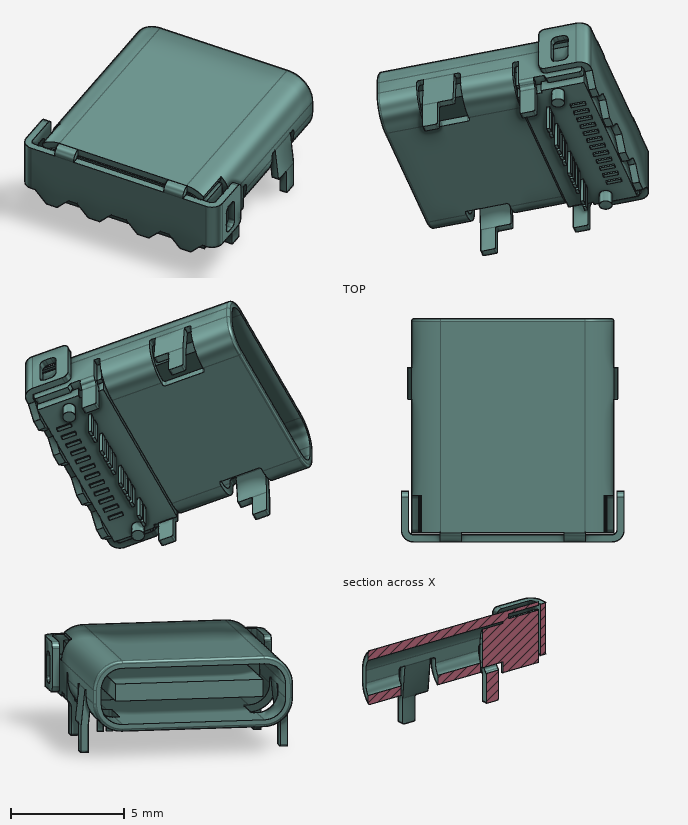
import cadquery as cq
import math

LENGTH = 9.87
WIDTH = 9.85
TOP_Z = 3.21
LEAD_TIP_Z = -1.24
METAL = 0.33

SHELL_HALF = 4.47
SHELL_BOTTOM_Z = 0.04
SHELL_RADIUS = 1.28
SHELL_BACK_Y = 0.4
MOUTH_ROUND = 0.12
SHELL_INNER_HALF = SHELL_HALF - METAL
SHELL_INNER_TOP_Z = TOP_Z - METAL
SHELL_HEIGHT = TOP_Z - SHELL_BOTTOM_Z
SHELL_MID_Z = (TOP_Z + SHELL_BOTTOM_Z) / 2

CUT_TOP_Z = 1.6
CUT_ROUND = 0.12
LOWER_CUT_Y = 3.6
SLOT_FRONT_Y = 2.05
SLOT_HALF = 4.04
SLOT_LIP_Z = 2.75
WINDOW_BACK_Y = 6.0
WINDOW_FRONT_Y = 8.01
WINDOW_INNER_HALF = 2.96

FRONT_LEG_BACK_Y = 6.29
FRONT_LEG_FRONT_Y = 7.7
FRONT_LEG_HALF = 4.64
FRONT_LEG_BEND_Z = 0.0
LEG_WIDTH = 0.69
LEG_ROUND = 0.08

WALL_FRONT_Y = 3.32
WALL_TOP_Z = TOP_Z - SHELL_RADIUS
WALL_BOTTOM_Z = 0.51
LIP_FRONT_Y = 2.15
LIP_SLANT = 0.12
LIP_BOTTOM_Z = 0.33
WALL_ROUND = 0.12
JOG_BOTTOM_Z = 0.04
JOG_OFFSET = 0.21

PLATE_TOP_Z = 2.77
PLATE_BOTTOM_Z = WALL_BOTTOM_Z
PLATE_RADIUS = 0.53
WING_FRONT_Y = 2.25
WING_ROUND = 0.28
TOOTH_TIP_Z = -0.08
TOOTH_SLANT = 0.57
OUTER_TOOTH_X = 3.36
OUTER_TOOTH_TIP = 0.53
INNER_TOOTH_X = 1.23
INNER_TOOTH_TIP = 0.57
WING_SLOT_Y = 1.28
WING_SLOT_Z = 1.5
WING_SLOT_WIDTH = 0.78
WING_SLOT_HEIGHT = 1.4
WING_SLOT_ROUND = 0.26
TANG_INNER_X = 2.26
TANG_OUTER_X = 3.22

HOUSING_FRONT_Y = 3.52
HOUSING_STEP_Y = 2.39
HOUSING_HALF = 4.09
HOUSING_FRONT_HALF = 3.94
HOUSING_TOP_Z = 2.81
HOUSING_ROUND = 0.59
LEDGE_Z = 2.53
LEDGE_WIDTH = 0.29
PLUG_BOTTOM_Z = WALL_BOTTOM_Z
PAD_HALF = 3.16
TONGUE_HALF = 3.31
TONGUE_HEIGHT = 0.77
TONGUE_FRONT_Y = 8.88
PEG_Y = 1.71
PEG_DIAMETER = 0.57
PEG_TIP_Z = -0.6
LEFT_PEG_X = -3.75
RIGHT_PEG_X = 3.58

LEAD_PITCH = 0.4
LEAD_STEPS = (1, 2, 3, 4, 6, 7)
LEAD_WIDTH = 0.26
LEAD_BACK_Y = 2.34
LEAD_FRONT_Y = 2.48

FOOT_PITCH = 0.499
FEET_PER_SIDE = 6
FOOT_WIDTH = 0.17
FOOT_BACK_Y = 0.74
FOOT_FRONT_Y = 1.42
FOOT_BOTTOM_Z = -0.08


def block(x0, x1, y0, y1, z0, z1):
    return cq.Workplane("XY").box(x1 - x0, y1 - y0, z1 - z0, centered=False).translate((x0, y0, z0))


def both_sides(right):
    return right.union(right.mirror("YZ"))


def rounded_tube(half, height, radius, y0, y1):
    return (
        block(-half, half, y0, y1, SHELL_MID_Z - height / 2, SHELL_MID_Z + height / 2)
        .edges("|Y")
        .fillet(radius)
    )


def make_shell_slot():
    """Cutter for a rear side slot, leaving an upright lip that slants back to the inside of the sheet."""
    arc_x = SHELL_HALF - SHELL_RADIUS
    arc_z = TOP_Z - SHELL_RADIUS
    inner_radius = SHELL_RADIUS - METAL
    angle = math.acos((SLOT_HALF - arc_x) / SHELL_RADIUS)
    outline = [
        (arc_x, 0),
        (arc_x, arc_z),
        (arc_x + inner_radius * math.cos(angle), arc_z + inner_radius * math.sin(angle)),
        (SLOT_HALF, SLOT_LIP_Z),
        (SLOT_HALF, TOP_Z),
        (WIDTH / 2, TOP_Z),
        (WIDTH / 2, 0),
    ]
    return cq.Workplane("XZ").polyline(outline).close().extrude(-SLOT_FRONT_Y)


def make_shell():
    outside = rounded_tube(SHELL_HALF, SHELL_HEIGHT, SHELL_RADIUS, SHELL_BACK_Y, LENGTH)
    outside = outside.faces(">Y").edges().fillet(MOUTH_ROUND)
    inside = rounded_tube(
        SHELL_INNER_HALF, SHELL_HEIGHT - 2 * METAL, SHELL_RADIUS - METAL, SHELL_BACK_Y, LENGTH
    )
    lower_cut = block(-WIDTH / 2, WIDTH / 2, 0, LOWER_CUT_Y, 0, CUT_TOP_Z)
    lower_cut = lower_cut.edges(">Y and >Z").fillet(CUT_ROUND)
    window = block(WINDOW_INNER_HALF, WIDTH / 2, WINDOW_BACK_Y, WINDOW_FRONT_Y, 0, CUT_TOP_Z)
    window = window.edges("|X and >Z").fillet(CUT_ROUND).edges("|Z and <X").fillet(CUT_ROUND)
    return outside.cut(inside).cut(lower_cut).cut(both_sides(make_shell_slot())).cut(both_sides(window))


def make_front_leg():
    bent_strip = (
        cq.Workplane("XZ")
        .moveTo(SHELL_HALF, CUT_TOP_Z)
        .lineTo(FRONT_LEG_HALF, FRONT_LEG_BEND_Z)
        .lineTo(FRONT_LEG_HALF, LEAD_TIP_Z)
        .lineTo(FRONT_LEG_HALF - METAL, LEAD_TIP_Z)
        .lineTo(FRONT_LEG_HALF - METAL, FRONT_LEG_BEND_Z)
        .lineTo(SHELL_INNER_HALF, CUT_TOP_Z)
        .close()
        .extrude(-LENGTH)
    )
    shoulder = block(0, WIDTH, FRONT_LEG_BACK_Y, FRONT_LEG_FRONT_Y, 0, CUT_TOP_Z)
    shoulder = shoulder.edges("|X and <Y and <Z").fillet(LEG_ROUND)
    leg_back_y = FRONT_LEG_FRONT_Y - LEG_WIDTH
    leg = block(0, WIDTH, leg_back_y, FRONT_LEG_FRONT_Y, LEAD_TIP_Z, CUT_TOP_Z)
    leg = leg.edges("|X and <Z").fillet(LEG_ROUND)
    inner_corner = cq.NearestToPointSelector((WIDTH / 2, leg_back_y, 0))
    outline = shoulder.union(leg).edges(inner_corner).fillet(LEG_ROUND)
    return bent_strip.intersect(outline)


def make_rear_wall():
    wall = (
        cq.Workplane("YZ", origin=(SHELL_INNER_HALF, 0, 0))
        .moveTo(WALL_FRONT_Y, CUT_TOP_Z)
        .lineTo(WALL_FRONT_Y, WALL_BOTTOM_Z)
        .lineTo(LIP_FRONT_Y, WALL_BOTTOM_Z)
        .lineTo(LIP_FRONT_Y - LIP_SLANT, LIP_BOTTOM_Z)
        .lineTo(SHELL_BACK_Y, LIP_BOTTOM_Z)
        .lineTo(SHELL_BACK_Y, WALL_TOP_Z)
        .lineTo(SLOT_FRONT_Y - CUT_ROUND, WALL_TOP_Z)
        .tangentArcPoint((CUT_ROUND, CUT_ROUND))
        .lineTo(SLOT_FRONT_Y, CUT_TOP_Z)
        .close()
        .extrude(METAL)
    )
    return wall.edges("|X and <Y").fillet(WALL_ROUND)


def make_rear_leg():
    half_jog = (-JOG_OFFSET / 2, (JOG_BOTTOM_Z - WALL_BOTTOM_Z) / 2)
    half_jog_back = (-half_jog[0], -half_jog[1])
    leg = (
        cq.Workplane("XZ", origin=(0, WALL_FRONT_Y - LEG_WIDTH, 0))
        .moveTo(SHELL_HALF, CUT_TOP_Z)
        .lineTo(SHELL_HALF, WALL_BOTTOM_Z)
        .tangentArcPoint(half_jog)
        .tangentArcPoint(half_jog)
        .lineTo(SHELL_HALF - JOG_OFFSET, LEAD_TIP_Z)
        .lineTo(SHELL_INNER_HALF - JOG_OFFSET, LEAD_TIP_Z)
        .lineTo(SHELL_INNER_HALF - JOG_OFFSET, JOG_BOTTOM_Z)
        .tangentArcPoint(half_jog_back)
        .tangentArcPoint(half_jog_back)
        .lineTo(SHELL_INNER_HALF, CUT_TOP_Z)
        .close()
        .extrude(-LEG_WIDTH)
    )
    return leg.edges("|X and <Z").fillet(LEG_ROUND)


def make_tooth(x, tip_width):
    tip = tip_width / 2
    root = tip + TOOTH_SLANT
    outline = [
        (x - root, PLATE_BOTTOM_Z),
        (x - tip, TOOTH_TIP_Z),
        (x + tip, TOOTH_TIP_Z),
        (x + root, PLATE_BOTTOM_Z),
    ]
    return cq.Workplane("XZ").polyline(outline).close().extrude(-METAL)


def make_tang():
    return (
        cq.Workplane("YZ", origin=(TANG_INNER_X, 0, 0))
        .moveTo(0, PLATE_TOP_Z)
        .radiusArc((TOP_Z - PLATE_TOP_Z, TOP_Z), TOP_Z - PLATE_TOP_Z)
        .lineTo(TOP_Z - PLATE_TOP_Z, SHELL_INNER_TOP_Z)
        .radiusArc((METAL, PLATE_TOP_Z), PLATE_TOP_Z - SHELL_INNER_TOP_Z)
        .close()
        .extrude(TANG_OUTER_X - TANG_INNER_X)
    )


def make_back_plate():
    half = WIDTH / 2
    plate = block(-half, half, 0, WING_FRONT_Y, PLATE_BOTTOM_Z, PLATE_TOP_Z)
    plate = plate.edges("|Z and <Y").fillet(PLATE_RADIUS)
    space = block(METAL - half, half - METAL, METAL, LENGTH, PLATE_BOTTOM_Z, PLATE_TOP_Z)
    space = space.edges("|Z and <Y").fillet(PLATE_RADIUS - METAL)
    plate = plate.cut(space).edges("|X and >Y").fillet(WING_ROUND)
    wing_slots = (
        cq.Workplane("XY", origin=(0, WING_SLOT_Y, WING_SLOT_Z))
        .box(2 * WIDTH, WING_SLOT_WIDTH, WING_SLOT_HEIGHT)
        .edges("|X")
        .fillet(WING_SLOT_ROUND)
    )
    teeth = make_tooth(OUTER_TOOTH_X, OUTER_TOOTH_TIP).union(make_tooth(INNER_TOOTH_X, INNER_TOOTH_TIP))
    return plate.cut(wing_slots).union(both_sides(teeth.union(make_tang())))


def make_peg(x):
    return (
        cq.Workplane("XY", origin=(x, PEG_Y, PEG_TIP_Z))
        .circle(PEG_DIAMETER / 2)
        .extrude(-PEG_TIP_Z)
    )


def make_housing():
    rear = block(-HOUSING_HALF, HOUSING_HALF, SHELL_BACK_Y, HOUSING_STEP_Y, 0, LEDGE_Z)
    upper_half = HOUSING_HALF - LEDGE_WIDTH
    upper = block(-upper_half, upper_half, SHELL_BACK_Y, HOUSING_STEP_Y, 0, HOUSING_TOP_Z)
    upper = upper.edges("|Y and >Z").fillet(HOUSING_ROUND)
    base = block(-HOUSING_FRONT_HALF, HOUSING_FRONT_HALF, HOUSING_STEP_Y, HOUSING_FRONT_Y, 0, CUT_TOP_Z)
    plug = block(
        -SHELL_INNER_HALF, SHELL_INNER_HALF, SLOT_FRONT_Y, HOUSING_FRONT_Y, PLUG_BOTTOM_Z, HOUSING_TOP_Z
    )
    plug = plug.edges("|Y and >Z").fillet(SHELL_RADIUS - METAL)
    pad = block(-PAD_HALF, PAD_HALF, SLOT_FRONT_Y, HOUSING_FRONT_Y, CUT_TOP_Z, SHELL_INNER_TOP_Z)
    tongue = block(
        -TONGUE_HALF,
        TONGUE_HALF,
        HOUSING_STEP_Y,
        TONGUE_FRONT_Y,
        SHELL_MID_Z - TONGUE_HEIGHT / 2,
        SHELL_MID_Z + TONGUE_HEIGHT / 2,
    )
    housing = rear.union(upper).union(base).union(plug).union(pad).union(tongue)
    return housing.union(make_peg(LEFT_PEG_X)).union(make_peg(RIGHT_PEG_X))


def make_leads():
    leads = cq.Workplane("XY")
    for step in LEAD_STEPS:
        x = step * LEAD_PITCH
        lead = block(
            x - LEAD_WIDTH / 2, x + LEAD_WIDTH / 2, LEAD_BACK_Y, LEAD_FRONT_Y, LEAD_TIP_Z, PLUG_BOTTOM_Z
        )
        leads = leads.union(lead)
    return both_sides(leads)


def make_feet():
    feet = cq.Workplane("XY")
    for index in range(FEET_PER_SIDE):
        x = (index + 0.5) * FOOT_PITCH
        foot = block(
            x - FOOT_WIDTH / 2, x + FOOT_WIDTH / 2, FOOT_BACK_Y, FOOT_FRONT_Y, FOOT_BOTTOM_Z, WALL_BOTTOM_Z
        )
        feet = feet.union(foot)
    return both_sides(feet)


side_metal = make_front_leg().union(make_rear_wall()).union(make_rear_leg())
result = (
    make_shell()
    .union(both_sides(side_metal))
    .union(make_back_plate())
    .union(make_housing())
    .union(make_leads())
    .union(make_feet())
)